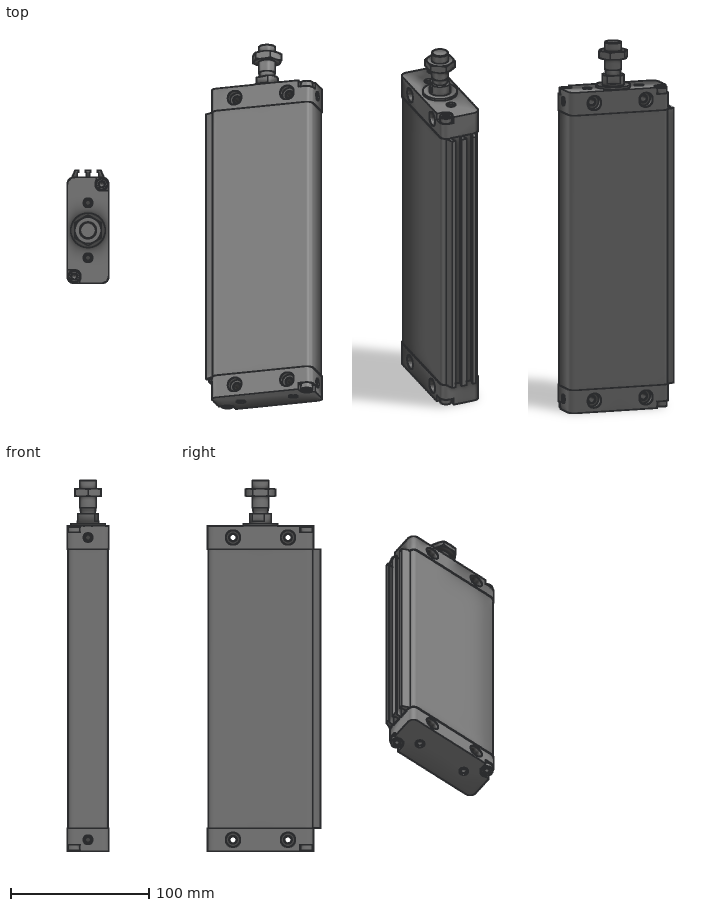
import cadquery as cq
import math

CAP_WIDTH = 30.0
CAP_LENGTH = 77.0
CAP_HEIGHT = 17.0
CAP_TOP = 236.0
CORNER_RADIUS = 5.0

BARREL_INSET = 0.5
BARREL_BOTTOM = CAP_HEIGHT
BARREL_TOP = CAP_TOP - CAP_HEIGHT
RAIL_PROTRUSION = 5.0
RAIL_TOP = CAP_LENGTH / 2 + RAIL_PROTRUSION
LIP_THICKNESS = 1.5
MIDDLE_RAIL_STEM = 2.5
MIDDLE_RAIL_HEAD = 4.0
GROOVE_OPENING = 4.8
GROOVE_WIDTH = 6.5
SIDE_RAIL_TOP_WIDTH = 2.5
SIDE_RAIL_BASE_X = 11.8

HOLE_SPACING = 39.8
MOUNT_HOLE_DIAMETER = 4.8
MOUNT_LEAD_DIAMETER = 6.0
MOUNT_BORE_DIAMETER = 10.2
MOUNT_MOUTH_DIAMETER = 10.8
MOUNT_BORE_DEPTH = 5.5
THREAD_CORE_DIAMETER = 4.0
THREAD_DIAMETER = 4.8
THREAD_MOUTH_DIAMETER = 6.7
PORT_DEPTH = 8.0
END_HOLE_DEPTH = 5.5

SCREW_X = CAP_WIDTH / 2 - CORNER_RADIUS
SCREW_Y = CAP_LENGTH / 2 - CORNER_RADIUS
RECESS_DIAMETER = 9.7
RECESS_DEPTH = 4.8
RECESS_END_REACH = 4.0
HEAD_DIAMETER = 8.5
HEAD_SINK = 0.5
HEAD_CHAMFER = 0.4
SOCKET_DIAMETER = 4.0
SOCKET_MOUTH_DIAMETER = 4.8
SOCKET_DEPTH = 1.3

BOSS_DIAMETER = 25.0
BOSS_HEIGHT = 1.5

ROD_DIAMETER = 16.0
ROD_BOTTOM = CAP_TOP + BOSS_HEIGHT
ROD_SHOULDER = 244.8
NECK_DIAMETER = 10.8
NECK_STRAIGHT_HEIGHT = 1.3
NECK_FLARE_DIAMETER = 11.3
NECK_TOP = 248.8
STUD_DIAMETER = 12.0
STUD_TOP = 269.0
STUD_CHAMFER = 0.5
FLAT_SPACING = 13.0
FLAT_BOTTOM = 239.1
FLAT_ANGLE = -15

NUT_WIDTH = 19.0
NUT_BOTTOM = 257.2
NUT_HEIGHT = 5.6
NUT_CORNER_DROP = 0.5


def rounded_block(width, length, radius, bottom, top):
    block = cq.Workplane("XY").workplane(offset=bottom).rect(width, length).extrude(top - bottom)
    return block.edges("|Z").fillet(radius)


def disc(diameter, bottom, top):
    return cq.Workplane("XY").workplane(offset=bottom).circle(diameter / 2).extrude(top - bottom)


def cone(bottom_diameter, top_diameter, bottom, top):
    frustum = cq.Solid.makeCone(bottom_diameter / 2, top_diameter / 2, top - bottom, cq.Vector(0, 0, bottom))
    return cq.Workplane("XY").add(frustum)


def revolve_profile(profile):
    """Body of revolution about Z from (radius, height) points."""
    return cq.Workplane("XZ").polyline(profile).close().revolve(360, (0, 0), (0, 1))


def threaded_hole(depth):
    """Cutter going down from the origin: a tapered mouth, then a small step to the thread core."""
    mouth = THREAD_MOUTH_DIAMETER / 2
    throat = THREAD_DIAMETER / 2
    core = THREAD_CORE_DIAMETER / 2
    taper = mouth - throat
    profile = [(0, 0), (mouth, 0), (throat, -taper), (core, -taper), (core, -depth), (0, -depth)]
    return revolve_profile(profile)


def mounting_hole(y):
    """Cutter for a cross hole along X, counterbored from both sides."""
    bore = MOUNT_BORE_DIAMETER / 2
    mouth = MOUNT_MOUTH_DIAMETER / 2
    hole = MOUNT_HOLE_DIAMETER / 2
    lead = MOUNT_LEAD_DIAMETER / 2
    floor = CAP_WIDTH / 2 - MOUNT_BORE_DEPTH
    side = CAP_WIDTH / 2
    profile = [
        (0, 0), (hole, 0), (hole, floor - lead + hole), (lead, floor),
        (bore, floor), (bore, side - mouth + bore), (mouth, side), (0, side),
    ]
    half = revolve_profile(profile)
    cutter = half.union(half.mirror("XY")).rotate((0, 0, 0), (0, 1, 0), 90)
    return cutter.translate((0, y, CAP_HEIGHT / 2))


def screw_recess():
    """Cutter at the (-X, -Y) corner: a round seat opened out through both adjacent sides."""
    floor = CAP_HEIGHT - RECESS_DEPTH
    radius = RECESS_DIAMETER / 2
    plane = cq.Workplane("XY", origin=(-SCREW_X, -SCREW_Y, floor))
    seat = plane.circle(radius).extrude(RECESS_DEPTH)
    side_opening = plane.rect(2 * radius, 2 * radius).extrude(RECESS_DEPTH).translate((-radius, 0, 0))
    end_opening = plane.rect(2 * RECESS_END_REACH, 2 * radius).extrude(RECESS_DEPTH).translate((0, -radius, 0))
    return seat.union(side_opening).union(end_opening)


def socket_cone():
    """Cutter for the round drive socket with a drill-point floor, going down from the origin."""
    mouth = SOCKET_MOUTH_DIAMETER / 2
    wall = SOCKET_DIAMETER / 2
    taper = mouth - wall
    profile = [(0, 0), (mouth, 0), (wall, -taper), (wall, -SOCKET_DEPTH), (0, -SOCKET_DEPTH - wall)]
    return revolve_profile(profile)


def screw_head():
    """Socket screw head standing on the recess floor at the (-X, -Y) corner."""
    head = disc(HEAD_DIAMETER, CAP_HEIGHT - RECESS_DEPTH, CAP_HEIGHT - HEAD_SINK)
    head = head.faces(">Z").chamfer(HEAD_CHAMFER)
    socket = socket_cone().translate((0, 0, CAP_HEIGHT - HEAD_SINK))
    return head.cut(socket).translate((-SCREW_X, -SCREW_Y, 0))


def make_end_cap():
    """Cap with its two corner screws, standing on Z = 0 with its outer end up."""
    cap = rounded_block(CAP_WIDTH, CAP_LENGTH, CORNER_RADIUS, 0, CAP_HEIGHT)
    port = threaded_hole(PORT_DEPTH).rotate((0, 0, 0), (1, 0, 0), 90)
    cap = cap.cut(port.translate((0, -CAP_LENGTH / 2, CAP_HEIGHT / 2)))
    for y in (-HOLE_SPACING / 2, HOLE_SPACING / 2):
        cap = cap.cut(mounting_hole(y))
        cap = cap.cut(threaded_hole(END_HOLE_DEPTH).translate((0, y, CAP_HEIGHT)))
    for turn in (0, 180):
        cap = cap.cut(screw_recess().rotate((0, 0, 0), (0, 0, 1), turn))
        cap = cap.union(screw_head().rotate((0, 0, 0), (0, 0, 1), turn))
    return cap


def make_rod_cap():
    cap = make_end_cap().translate((0, 0, BARREL_TOP))
    boss = disc(BOSS_DIAMETER, CAP_TOP, CAP_TOP + BOSS_HEIGHT)
    return cap.union(boss)


def make_blind_cap():
    return make_end_cap().mirror("XY").translate((0, 0, CAP_HEIGHT))


def rail(outline):
    """Strip along the whole barrel with the given cross-section."""
    section = cq.Workplane("XY").workplane(offset=BARREL_BOTTOM).polyline(outline).close()
    return section.extrude(BARREL_TOP - BARREL_BOTTOM)


def make_barrel():
    """Rounded bar with two sensor grooves formed by three rails on its +Y face."""
    length = CAP_LENGTH - 2 * BARREL_INSET
    base = length / 2
    barrel = rounded_block(
        CAP_WIDTH - 2 * BARREL_INSET, length, CORNER_RADIUS - BARREL_INSET, BARREL_BOTTOM, BARREL_TOP
    )
    lip = RAIL_TOP - LIP_THICKNESS
    stem = MIDDLE_RAIL_STEM / 2
    head = MIDDLE_RAIL_HEAD / 2
    middle_outline = [
        (-stem, base), (-stem, lip), (-head, lip), (-head, RAIL_TOP),
        (head, RAIL_TOP), (head, lip), (stem, lip), (stem, base),
    ]
    mouth = head + GROOVE_OPENING
    wall = stem + GROOVE_WIDTH
    side_outline = [
        (wall, base), (wall, lip), (mouth, lip), (mouth, RAIL_TOP),
        (mouth + SIDE_RAIL_TOP_WIDTH, RAIL_TOP), (SIDE_RAIL_BASE_X, base),
    ]
    side_rail = rail(side_outline)
    return barrel.union(rail(middle_outline)).union(side_rail).union(side_rail.mirror("YZ"))


def make_rod():
    """Rod end with two wrench flats, a neck and the stud that carries the nut."""
    rod = disc(ROD_DIAMETER, ROD_BOTTOM, ROD_SHOULDER)
    flats = cq.Workplane("XY").workplane(offset=FLAT_BOTTOM).rect(FLAT_SPACING, ROD_DIAMETER)
    flats = flats.extrude(ROD_SHOULDER - FLAT_BOTTOM).rotate((0, 0, 0), (0, 0, 1), FLAT_ANGLE)
    rod = rod.intersect(disc(ROD_DIAMETER, ROD_BOTTOM, FLAT_BOTTOM).union(flats))
    stud = disc(STUD_DIAMETER, NECK_TOP, STUD_TOP).faces(">Z").chamfer(STUD_CHAMFER)
    flare_bottom = ROD_SHOULDER + NECK_STRAIGHT_HEIGHT
    neck = disc(NECK_DIAMETER, ROD_SHOULDER, flare_bottom)
    flare = cone(NECK_DIAMETER, NECK_FLARE_DIAMETER, flare_bottom, NECK_TOP)
    return rod.union(neck).union(flare).union(stud)


def make_nut():
    """Hexagon nut on the stud, its corners turned down to the flats at both ends."""
    top = NUT_BOTTOM + NUT_HEIGHT
    middle = NUT_BOTTOM + NUT_HEIGHT / 2
    hexagon = cq.Workplane("XY").workplane(offset=NUT_BOTTOM)
    hexagon = hexagon.polygon(6, NUT_WIDTH, circumscribed=True).extrude(NUT_HEIGHT)
    nut_corners = NUT_WIDTH / math.cos(math.pi / 6)
    taper = (nut_corners - NUT_WIDTH) / NUT_CORNER_DROP
    middle_diameter = NUT_WIDTH + taper * NUT_HEIGHT / 2
    envelope = cone(NUT_WIDTH, middle_diameter, NUT_BOTTOM, middle)
    envelope = envelope.union(cone(middle_diameter, NUT_WIDTH, middle, top))
    return hexagon.intersect(envelope).cut(disc(STUD_DIAMETER, NUT_BOTTOM, top))


rod_cap = make_rod_cap()
blind_cap = make_blind_cap()
barrel = make_barrel()
rod = make_rod()
nut = make_nut()

result = cq.Compound.makeCompound([rod_cap.val(), blind_cap.val(), barrel.val(), rod.val(), nut.val()])